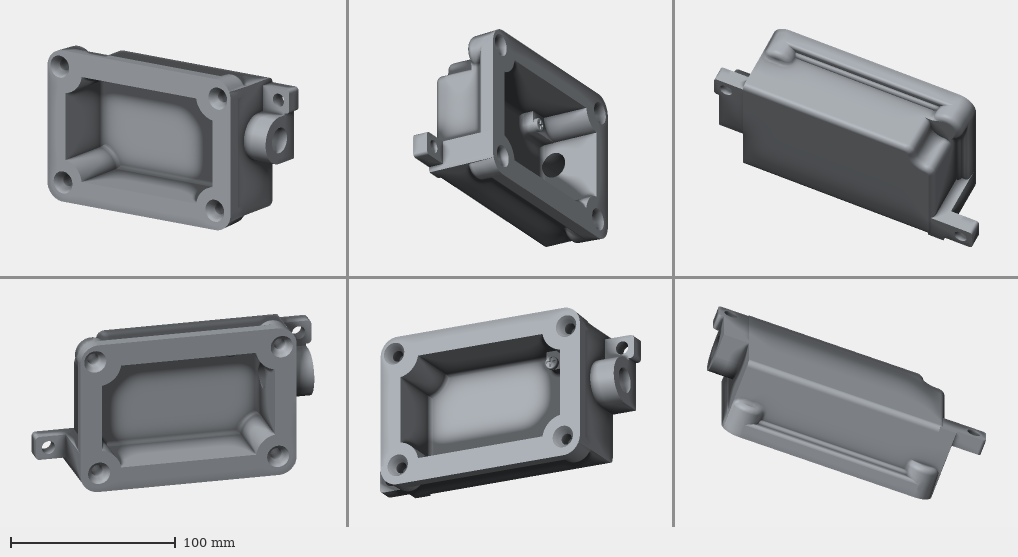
import cadquery as cq
import math


overlap = 1.7
edge_tolerance = 0.2
y_axis = ((0, 0, 0), (0, 1, 0))

flange_width = 135.5
flange_height = 95.0
flange_corner_radius = 11.5
flange_thickness = 10.2
flange_draft = 3.0
flange_back_fillet = 2.0
wall_blend = 2.5

depth = 45.6
wall_inset = 7.3
box_left = -flange_width / 2 + wall_inset
box_right = flange_width / 2 - 0.9
box_top = flange_height / 2 - wall_inset
outer_fillet = 3.6

boss_radius = 11.2
boss_length = 19.7
boss_back_fillet = 3.8
screw_holes = [(-58.6, 37.0), (58.5, 35.5), (-56.2, -35.5), (56.2, -35.5)]
countersink_radius = 7.0
countersink_depth = 5.2
screw_hole_radius = 3.5
screw_hole_depth = 13.8
drill_tip_depth = 2.0

scallop_radius = 8.3
scallop_fillet = 5.4
scallop_offset = 12.6

back_wall = 7.0
cavity_depth = depth - back_wall
cavity_half_width = 54.3
cavity_half_height = 33.0
corner_cut = 12.0
corner_arc_radius = 14.3
cavity_fillet = 2.6

pad_left = 29.9
pad_bottom = 21.0
pad_height = 8.6
pad_front = cavity_depth - pad_height
pad_corner_radius = 5.2

lug_reach = 86.5
lug_height = 14.9
lug_center_z = 29.5
lug_front = 35.5
lug_back = depth - 0.3
lug_corner_radius = 2.2
lug_hole_radius = 4.1
lug_hole_x = 78.5
foot_face = -flange_width / 2 + 0.09
foot_fillet = 10.4

entry_radius = 14.7
entry_y = 30.0
entry_z = 6.2
entry_end = 83.0
entry_bore_radius = 8.0

head_radius = 4.1
head_height = 2.6
head_fillet = 0.9
head_x = 34.0
head_z = 25.0
recess_length = 6.2
recess_width = 1.5
recess_depth = 1.0


def plane_at(y):
    """Sketch plane facing -Y: local x is X, local y is Z. Extrude by a negative length to go deeper."""
    return cq.Workplane("XZ", origin=(0, y, 0))


def block(x_range, y_range, z_range):
    """Box spanning the given (low, high) pairs."""
    lows, highs = zip(x_range, y_range, z_range)
    size = [high - low for low, high in zip(lows, highs)]
    return cq.Workplane("XY").box(*size, centered=False).translate(lows)


def tapered_prism(outline, length, taper):
    """Sketch outline grown from Y = 0 toward +Y while it shrinks by the taper angle; local y is -Z."""
    prism = cq.Workplane("XY").placeSketch(outline).extrude(length, taper=taper)
    return prism.rotate((0, 0, 0), (1, 0, 0), -90)


def make_flange():
    outline = cq.Sketch().rect(flange_width, flange_height).vertices().fillet(flange_corner_radius)
    flange = tapered_prism(outline, flange_thickness, flange_draft)
    return flange.faces(">Y").edges().fillet(flange_back_fillet)


def make_blend(length):
    """Concave strip between the back of the flange and a wall lying on Z = 0, centred on X = 0."""
    return (
        cq.Workplane("YZ", origin=(-length / 2, flange_thickness, 0))
        .lineTo(wall_blend, 0)
        .radiusArc((0, wall_blend), -wall_blend)
        .close()
        .extrude(length)
    )


def add_wall_blends(housing):
    """Blend the top, bottom and left walls into the flange; the strips end inside the bosses."""
    top = make_blend(flange_width - 2 * boss_radius).translate((0, 0, box_top))
    bottom = top.rotate(*y_axis, 180)
    side = make_blend(flange_height - 2 * boss_radius)
    left = side.rotate(*y_axis, -90).translate((box_left, 0, 0))
    return housing.union(top).union(bottom).union(left)


def scalloped_outline():
    """Box outline seen from the front, with an S-shaped scallop in the upper left corner."""
    radius_sum = scallop_radius + scallop_fillet
    rise = scallop_offset - wall_inset - scallop_fillet
    run = math.sqrt(radius_sum**2 - rise**2)
    ratio = scallop_radius / radius_sum
    tangent_at = scallop_offset + run
    near = scallop_offset - rise * ratio
    far = scallop_offset + run * ratio

    def from_corner(right, down):
        return (right - flange_width / 2, flange_height / 2 - down)

    return (
        plane_at(boss_length)
        .moveTo(*from_corner(tangent_at, wall_inset))
        .lineTo(box_right, box_top)
        .lineTo(box_right, -box_top)
        .lineTo(box_left + outer_fillet, -box_top)
        .radiusArc((box_left, -box_top + outer_fillet), outer_fillet)
        .lineTo(*from_corner(wall_inset, tangent_at))
        .radiusArc(from_corner(near, far), scallop_fillet)
        .radiusArc(from_corner(far, near), -scallop_radius)
        .radiusArc(from_corner(tangent_at, wall_inset), scallop_fillet)
        .close()
    )


def make_box():
    """Solid box, scalloped behind the bosses, with a rounded back rim; the right end stays sharp."""
    front = block((box_left, box_right), (0, boss_length), (-box_top, box_top))
    front = front.edges("|Y and <X").fillet(outer_fillet)
    rear = scalloped_outline().extrude(boss_length - depth)
    rim = rear.faces(">Y").edges("not >X")
    return front.union(rim.fillet(outer_fillet))


def make_boss():
    boss = tapered_prism(cq.Sketch().circle(boss_radius), boss_length, flange_draft)
    return boss.faces(">Y").edges().fillet(boss_back_fillet)


def make_blended_boss(outer_reach, blend_end):
    """Boss on the Y axis blended into a wall facing +Z, trimmed at X = outer_reach and Y = blend_end."""
    half_width = 2 * boss_radius
    wall_z = boss_radius - wall_inset
    wall = block((-half_width, half_width), (0, half_width), (0, wall_z))
    contact = cq.selectors.BoxSelector(
        (edge_tolerance - half_width, edge_tolerance, wall_z - edge_tolerance),
        (half_width - edge_tolerance, half_width - edge_tolerance, wall_z + edge_tolerance),
    )
    blended = make_boss().union(wall).edges(contact).fillet(wall_blend)
    return blended.intersect(block((-half_width, outer_reach), (0, blend_end), (0, half_width)))


def add_bosses(housing):
    center_x = flange_width / 2 - boss_radius
    center_z = flange_height / 2 - boss_radius
    blend_depth = boss_length + wall_blend
    boss = make_boss()
    right_blend = make_blended_boss(box_right - center_x, blend_depth).translate((center_x, 0, center_z))
    inner_blend = make_blended_boss(0, boss_length)
    left_blend = inner_blend.mirror("YZ").translate((-center_x, 0, center_z))
    side_blend = inner_blend.rotate(*y_axis, -90)
    side_blend = side_blend.translate((-center_x, 0, center_z))
    for blend in (right_blend, left_blend):
        housing = housing.union(blend).union(blend.mirror("XY"))
    for x in (-center_x, center_x):
        for z in (-center_z, center_z):
            housing = housing.union(boss.translate((x, 0, z)))
    return housing.union(side_blend)


def make_lug():
    """Left mounting lug; the right one is the same turned half way about Y."""
    z_range = (-lug_center_z - lug_height / 2, -lug_center_z + lug_height / 2)
    lug = block((-lug_reach, box_left + overlap), (lug_front, lug_back), z_range)
    lug = lug.edges("|Y and <X").fillet(lug_corner_radius)
    hole = plane_at(0).center(-lug_hole_x, -lug_center_z).circle(lug_hole_radius).extrude(-depth)
    return lug.cut(hole)


def make_lug_foot():
    """Thickening of the left wall that runs forward from the lug to the flange."""
    foot_top = -lug_center_z + lug_height / 2
    x_range = (foot_face, box_left + outer_fillet)
    foot = block((foot_face, 0), (0, lug_back), (-flange_height / 2, foot_top))
    foot = foot.edges("|Y and <X and <Z").fillet(foot_fillet)
    return foot.intersect(block(x_range, (0, lug_back), (-box_top, foot_top)))


def make_entry():
    """U-shaped cable entry, round toward the front and straight toward the back, reaching the lug."""
    x_range = (box_right - overlap, entry_end)
    length = entry_end - x_range[0]
    nose = cq.Workplane("YZ", origin=(x_range[0], entry_y, entry_z)).circle(entry_radius).extrude(length)
    body = block(x_range, (entry_y, lug_back), (entry_z - entry_radius, entry_z + entry_radius))
    web = block(x_range, (lug_front, lug_back), (entry_z, lug_center_z - lug_height / 2))
    return nose.union(body).union(web)


def make_entry_bore():
    """Round passage from the cavity through the right wall and the cable entry."""
    bore_start = cavity_half_width - cavity_fillet
    length = entry_end - bore_start
    plane = cq.Workplane("YZ", origin=(bore_start, entry_y, entry_z))
    return plane.circle(entry_bore_radius).extrude(length)


def make_cavity():
    """Space inside the housing: notched corners, a raised pad and a rounded floor."""
    half_w = cavity_half_width
    half_h = cavity_half_height
    notch_x = half_w - corner_cut
    notch_z = half_h - corner_cut
    space = (
        plane_at(0)
        .moveTo(-notch_x, half_h)
        .lineTo(notch_x, half_h)
        .radiusArc((half_w, notch_z), -corner_arc_radius)
        .lineTo(half_w, -notch_z)
        .radiusArc((notch_x, -half_h), -corner_arc_radius)
        .lineTo(-notch_x, -half_h)
        .radiusArc((-half_w, -notch_z), -corner_arc_radius)
        .lineTo(-half_w, notch_z)
        .radiusArc((-notch_x, half_h), -corner_arc_radius)
        .close()
        .extrude(-cavity_depth)
    )
    pad = block(
        (pad_left, half_w + overlap),
        (pad_front, cavity_depth),
        (pad_bottom, half_h + overlap),
    )
    pad = pad.edges("|Y and <X and <Z").fillet(pad_corner_radius)
    return space.cut(pad).faces(">Y").edges().fillet(cavity_fillet)


def make_screw_hole():
    """Countersunk blind hole with a drill-tip end, revolved about the Y axis."""
    return (
        cq.Workplane("XY")
        .polyline([
            (0, 0),
            (countersink_radius, 0),
            (screw_hole_radius, countersink_depth),
            (screw_hole_radius, screw_hole_depth),
            (0, screw_hole_depth + drill_tip_depth),
        ])
        .close()
        .revolve(360, *y_axis)
    )


def make_housing():
    lug = make_lug()
    right_lug = lug.rotate(*y_axis, 180)
    housing = add_bosses(add_wall_blends(make_flange().union(make_box())))
    housing = housing.union(lug).union(make_lug_foot())
    housing = housing.union(right_lug)
    housing = housing.union(make_entry()).cut(make_cavity())
    housing = housing.cut(make_entry_bore())
    screw_hole = make_screw_hole()
    for x, z in screw_holes:
        housing = housing.cut(screw_hole.translate((x, 0, z)))
    return housing


def make_screw():
    """Screw head resting on the pad, with a cross recess in its front."""
    head_front = pad_front - head_height
    head = plane_at(head_front).center(head_x, head_z).circle(head_radius).extrude(-head_height)
    head = head.faces("<Y").edges().fillet(head_fillet)
    for length, width in ((recess_length, recess_width), (recess_width, recess_length)):
        slot = plane_at(head_front).center(head_x, head_z).rect(length, width).extrude(-recess_depth)
        head = head.cut(slot)
    return head


housing = make_housing()
screw = make_screw()
result = cq.Compound.makeCompound([housing.val(), screw.val()])